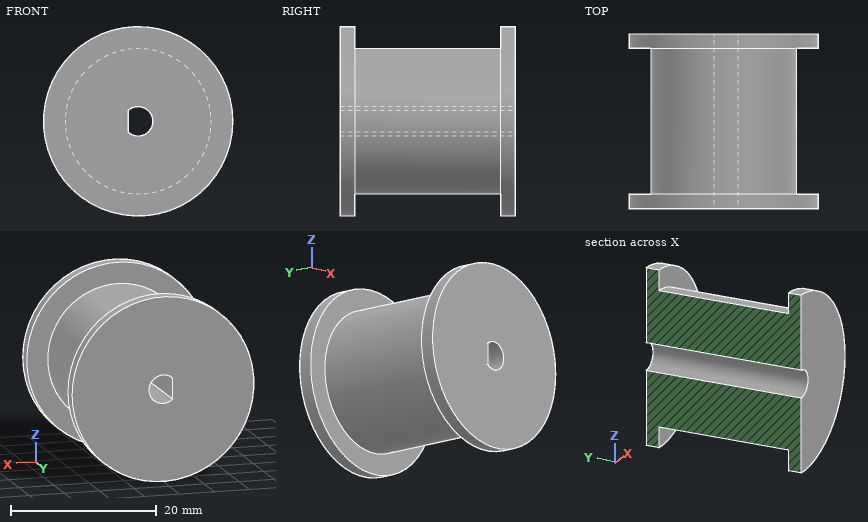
import cadquery as cq

flange_diameter = 26.0
core_diameter = 20.0
spool_length = 24.0
flange_thickness = 2.0

bore_diameter = 4.0
flat_distance = 1.35


def cylinder_along_y(diameter, length, start_y):
    """Solid cylinder about the Y axis, running from start_y toward +Y."""
    base = cq.Plane(origin=(0, start_y, 0), xDir=(1, 0, 0), normal=(0, 1, 0))
    return cq.Workplane(base).circle(diameter / 2).extrude(length)


def shaft_bore():
    """Round through-bore cut off by the flat."""
    round_bore = cylinder_along_y(bore_diameter, spool_length, -spool_length / 2)
    keep_side = (
        cq.Workplane("XY")
        .box(bore_diameter, spool_length, bore_diameter, centered=(False, True, True))
        .translate((-flat_distance, 0, 0))
    )
    return round_bore.intersect(keep_side)


spool = cylinder_along_y(core_diameter, spool_length, -spool_length / 2)
for flange_start in (-spool_length / 2, spool_length / 2 - flange_thickness):
    spool = spool.union(cylinder_along_y(flange_diameter, flange_thickness, flange_start))

result = spool.cut(shaft_bore())